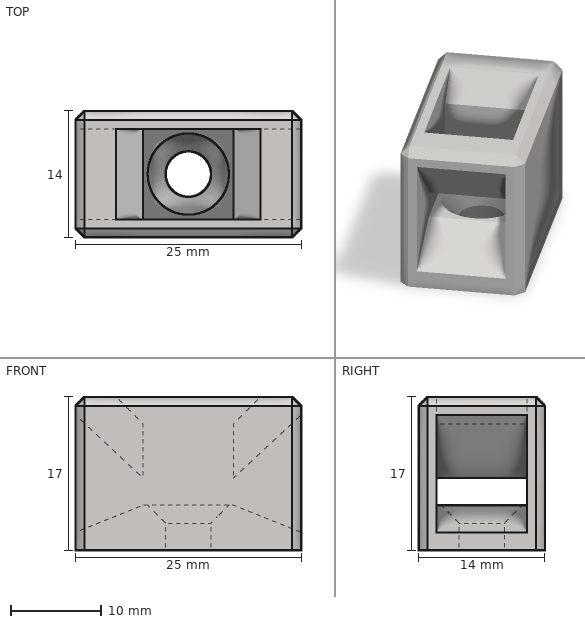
import cadquery as cq

length = 25
width = 14
height = 17
edge_chamfer = 1

cavity_width = 10
half_throat = 5
floor_height = 5
throat_height = 3
mouth_bottom = 2
mouth_top = 15

half_opening = 8
slope_bottom = height - (half_opening - half_throat)

hole_diameter = 5
countersink_diameter = 9
countersink_angle = 90


def prism_across_width(points):
    """Extrude an XZ outline over the cavity width, centred on Y = 0."""
    return cq.Workplane("XZ").polyline(points).close().extrude(cavity_width / 2, both=True)


def make_block():
    block = cq.Workplane("XY").box(length, width, height, centered=(True, True, False))
    return block.edges("|Z or >Z").chamfer(edge_chamfer)


def make_top_pocket():
    return prism_across_width([
        (-half_throat, floor_height),
        (half_throat, floor_height),
        (half_throat, slope_bottom),
        (half_opening, height),
        (-half_opening, height),
        (-half_throat, slope_bottom),
    ])


def make_end_passages():
    """Double funnel along X: wide at both mouths, narrow at the middle."""
    half_length = length / 2
    ceiling_height = floor_height + throat_height
    return prism_across_width([
        (-half_length, mouth_bottom),
        (-half_throat, floor_height),
        (half_throat, floor_height),
        (half_length, mouth_bottom),
        (half_length, mouth_top),
        (half_throat, ceiling_height),
        (-half_throat, ceiling_height),
        (-half_length, mouth_top),
    ])


body = make_block().cut(make_top_pocket()).cut(make_end_passages())
result = (
    body.copyWorkplane(cq.Workplane("XY", origin=(0, 0, floor_height)))
    .cskHole(hole_diameter, countersink_diameter, countersink_angle)
)